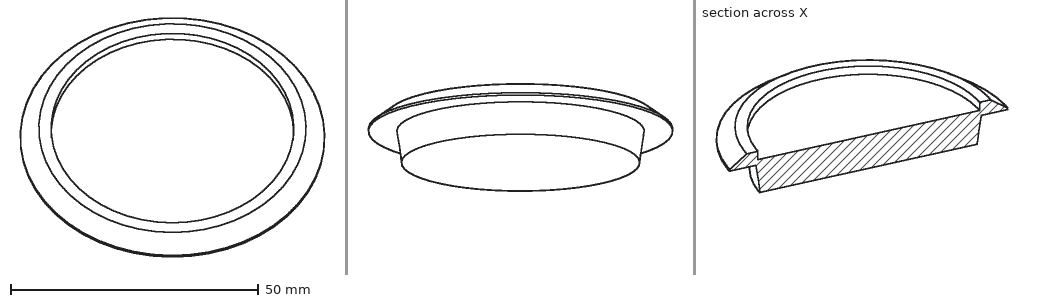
import cadquery as cq

flange_diameter = 61.5
total_height = 9.8

flange_height = 3.25
rim_height = 0.5
top_face_diameter = 54.0

plug_top_diameter = 50.0
plug_bottom_diameter = 48.15

recess_diameter = 49.0
recess_depth = 1.9

plug_height = total_height - flange_height

body = (
    cq.Workplane("XZ")
    .lineTo(plug_bottom_diameter / 2, 0)
    .lineTo(plug_top_diameter / 2, plug_height)
    .lineTo(flange_diameter / 2, plug_height)
    .lineTo(flange_diameter / 2, plug_height + rim_height)
    .lineTo(top_face_diameter / 2, total_height)
    .lineTo(0, total_height)
    .close()
    .revolve(360, (0, 0, 0), (0, 1, 0))
)

recess = (
    cq.Workplane("XY")
    .workplane(offset=total_height - recess_depth)
    .circle(recess_diameter / 2)
    .extrude(recess_depth)
)

result = body.cut(recess)